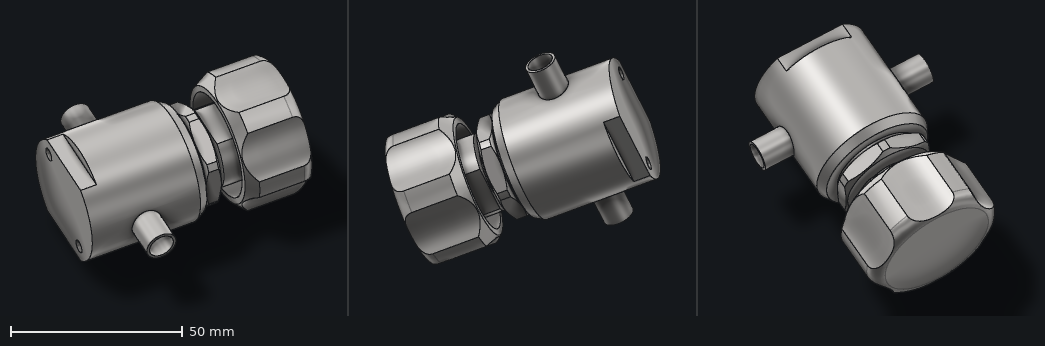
import cadquery as cq
import math


flat_end_y = 5.15
cone_start_y = 35.2
housing_top_y = 38.0
nut_start_y = 39.25
nut_end_y = 44.4
collar_start_y = 46.1
knob_start_y = 49.9
collar_flat_end_y = 54.15
recess_floor_y = 64.5
knob_end_y = 71.6

housing_diameter = 37.8
housing_top_diameter = 34.6
across_housing_flats = 30.6

tube_span = 57.4
tube_diameter = 9.5
tube_bore_diameter = 7.75
tube_y = 17.7
bore_tip_diameter = 0.25
bore_depth = 17.9
bore_cone_height = 0.6

mount_hole_diameter = 3.95
mount_hole_offset = 10.0
mount_hole_depth = 7.15
drill_point_angle = 118.0
core_diameter = 27.8

neck_diameter = 27.15
nut_sides = 6
nut_across_flats = 28.65
nut_corner_diameter = 31.7
nut_front_diameter = 28.8
nut_back_diameter = 27.9
nut_chamfer_angle = 60.0
stem_diameter = 15.9
collar_diameter = 24.15
across_collar_flats = 19.05

knob_diameter = 43.1
knob_chamfer = 3.2
knob_rounding = 3.95
recess_diameter = 32.7
flute_count = 6
flute_half_width = 7.75
flute_floor_radius = 18.6


def cylinder_y(diameter, start, end):
    """Round bar along Y between two stations."""
    disc = cq.Workplane("XZ", origin=(0, start, 0)).circle(diameter / 2)
    return disc.extrude(start - end)


def revolve_y(profile):
    """Turn a closed (radius, Y) profile about the Y axis."""
    return profile.revolve(360, (0, 0, 0), (0, 1, 0))


def block(x_size, start, end, z_low, z_high):
    """Box centred on X, between two stations along Y and two heights."""
    box = cq.Workplane("XY").box(x_size, end - start, z_high - z_low, centered=(True, False, False))
    return box.translate((0, start, z_low))


def make_tube_bore(side):
    """Blind bore of one side tube, its floor a low blunt cone that points outwards; side is -1 or +1."""
    outer_x = tube_span / 2
    floor_x = outer_x - bore_depth
    tip_x = floor_x + bore_cone_height
    bore = (
        cq.Workplane("XY")
        .moveTo(outer_x, 0)
        .lineTo(outer_x, tube_bore_diameter / 2)
        .lineTo(floor_x, tube_bore_diameter / 2)
        .lineTo(tip_x, bore_tip_diameter / 2)
        .lineTo(tip_x, 0)
        .close()
        .revolve(360, (0, 0, 0), (1, 0, 0))
    )
    if side < 0:
        bore = bore.mirror("YZ")
    return bore.translate((0, tube_y, 0))


def make_mount_hole(x, z):
    """Blind hole from the flat end; its drill point is cut only outside the central core of the housing."""
    radius = mount_hole_diameter / 2
    tip_y = mount_hole_depth + radius / math.tan(math.radians(drill_point_angle / 2))
    profile = cq.Workplane("XY").polyline(
        [(0, 0), (radius, 0), (radius, mount_hole_depth), (0, tip_y)]
    ).close()
    hole = revolve_y(profile).translate((x, 0, z))
    return hole.cut(cylinder_y(core_diameter, mount_hole_depth, tip_y))


def make_housing():
    radius = housing_diameter / 2
    profile = cq.Workplane("XY").polyline(
        [
            (0, 0),
            (radius, 0),
            (radius, cone_start_y),
            (housing_top_diameter / 2, housing_top_y),
            (0, housing_top_y),
        ]
    ).close()
    body = revolve_y(profile)

    half_flats = across_housing_flats / 2
    body = body.cut(block(housing_diameter, 0, flat_end_y, half_flats, radius))
    body = body.cut(block(housing_diameter, 0, flat_end_y, -radius, -half_flats))

    tube = cq.Workplane("YZ", origin=(0, tube_y, 0)).circle(tube_diameter / 2)
    body = body.union(tube.extrude(tube_span / 2, both=True))
    for side in (-1, 1):
        body = body.cut(make_tube_bore(side))

    for side in (-1, 1):
        body = body.cut(make_mount_hole(side * mount_hole_offset, -side * mount_hole_offset))
    return body


def make_nut():
    """Hexagon with clipped corners and a cone at each end."""
    across_corners = nut_across_flats / math.cos(math.pi / nut_sides)
    hexagon = (
        cq.Workplane("XZ", origin=(0, nut_start_y, 0))
        .transformed(rotate=(0, 0, 90))
        .polygon(nut_sides, across_corners)
        .extrude(nut_start_y - nut_end_y)
    )
    corner_radius = nut_corner_diameter / 2
    slope = math.tan(math.radians(nut_chamfer_angle))
    front_length = (corner_radius - nut_front_diameter / 2) / slope
    back_length = (corner_radius - nut_back_diameter / 2) / slope
    envelope = cq.Workplane("XY").polyline(
        [
            (0, nut_start_y),
            (nut_front_diameter / 2, nut_start_y),
            (corner_radius, nut_start_y + front_length),
            (corner_radius, nut_end_y - back_length),
            (nut_back_diameter / 2, nut_end_y),
            (0, nut_end_y),
        ]
    ).close()
    return hexagon.intersect(revolve_y(envelope))


def make_collar():
    """Round collar with two wrench flats that run out on 45 degree ramps."""
    collar = cylinder_y(collar_diameter, collar_start_y, recess_floor_y)
    half_flats = across_collar_flats / 2
    rise = collar_diameter / 2 - half_flats
    relief = (
        cq.Workplane("YZ")
        .polyline(
            [
                (collar_start_y, half_flats),
                (collar_flat_end_y, half_flats),
                (collar_flat_end_y + rise, half_flats + rise),
                (collar_start_y, half_flats + rise),
            ]
        )
        .close()
        .extrude(collar_diameter / 2, both=True)
    )
    return collar.cut(relief).cut(relief.mirror("XY"))


def make_bonnet():
    neck = cylinder_y(neck_diameter, housing_top_y, nut_start_y)
    stem = cylinder_y(stem_diameter, nut_end_y, collar_start_y)
    return neck.union(make_nut()).union(stem).union(make_collar())


def make_knob():
    radius = knob_diameter / 2
    back_radius = radius - knob_rounding
    rounding_start_y = knob_end_y - knob_rounding
    diagonal = knob_rounding * math.sin(math.pi / 4)
    rounding_mid = (back_radius + diagonal, rounding_start_y + diagonal)
    profile = (
        cq.Workplane("XY")
        .moveTo(0, recess_floor_y)
        .lineTo(recess_diameter / 2, recess_floor_y)
        .lineTo(recess_diameter / 2, knob_start_y)
        .lineTo(radius - knob_chamfer, knob_start_y)
        .lineTo(radius, knob_start_y + knob_chamfer)
        .lineTo(radius, rounding_start_y)
        .threePointArc(rounding_mid, (back_radius, knob_end_y))
        .lineTo(0, knob_end_y)
        .close()
    )
    knob = revolve_y(profile)

    mouth_height = math.sqrt(radius**2 - flute_half_width**2)
    sagitta = mouth_height - flute_floor_radius
    flute_radius = (flute_half_width**2 + sagitta**2) / (2 * sagitta)
    flute_axis_radius = flute_floor_radius + flute_radius
    flute = cylinder_y(2 * flute_radius, knob_start_y, knob_end_y).translate((0, 0, flute_axis_radius))
    for index in range(flute_count):
        angle = index * 360 / flute_count
        knob = knob.cut(flute.rotate((0, 0, 0), (0, 1, 0), angle))
    return knob


housing = make_housing()
bonnet = make_bonnet()
knob = make_knob()

result = cq.Compound.makeCompound([housing.val(), bonnet.val(), knob.val()])